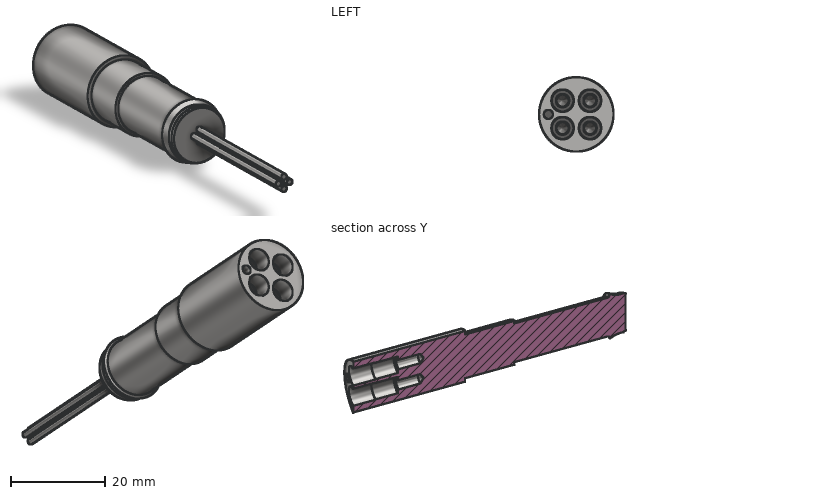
import cadquery as cq
import math

total_length = 102.2

shell_diameter = 15.8
shell_end = 25.6
collar_diameter = 14.0
collar_end = 36.9
sleeve_diameter = 12.7
sleeve_end = 62.4

barb_diameter = 14.0
barb_start = 58.3
barb_peak = 58.7
barb_end = 60.6
end_chamfer_length = 0.6
end_chamfer_depth = 0.3

socket_spacing = 5.8
socket_offset = socket_spacing / 2
mouth_diameter = 4.8
mouth_depth = 5.1
socket_diameter = 4.6
socket_depth = 10.2
lead_in_diameter = 2.9
contact_diameter = 2.6
contact_depth = 5.1
drill_point_angle = 118.0

key_hole_diameter = 1.9
key_hole_offset = 5.9
key_hole_depth = 10.2

wire_diameter = 1.3
wire_offset = 1.3
wire_count = 4


def make_housing():
    """Turned outline of the housing, revolved about the X axis."""
    sleeve_radius = sleeve_diameter / 2
    collar_radius = collar_diameter / 2
    shell_radius = shell_diameter / 2
    outline = [
        (0, 0),
        (0, shell_radius),
        (shell_end, shell_radius),
        (shell_end, collar_radius),
        (collar_end, collar_radius),
        (collar_end, sleeve_radius),
        (barb_start, sleeve_radius),
        (barb_peak, barb_diameter / 2),
        (barb_end, sleeve_radius),
        (sleeve_end - end_chamfer_length, sleeve_radius),
        (sleeve_end, sleeve_radius - end_chamfer_depth),
        (sleeve_end, 0),
    ]
    return cq.Workplane("XY").polyline(outline).close().revolve(360, (0, 0, 0), (1, 0, 0))


def make_socket():
    """Bore stepping down to a contact hole with a 45 degree lead-in and a drilled point."""
    contact_radius = contact_diameter / 2
    lead_in_depth = lead_in_diameter / 2 - contact_radius
    contact_end = socket_depth + contact_depth
    point_length = contact_radius / math.tan(math.radians(drill_point_angle / 2))
    outline = [
        (0, 0),
        (0, mouth_diameter / 2),
        (mouth_depth, mouth_diameter / 2),
        (mouth_depth, socket_diameter / 2),
        (socket_depth, socket_diameter / 2),
        (socket_depth, lead_in_diameter / 2),
        (socket_depth + lead_in_depth, contact_radius),
        (contact_end, contact_radius),
        (contact_end + point_length, 0),
    ]
    return cq.Workplane("XY").polyline(outline).close().revolve(360, (0, 0, 0), (1, 0, 0))


def make_key_hole():
    """Blind round hole in the mating face."""
    return (
        cq.Workplane("YZ")
        .center(key_hole_offset, 0)
        .circle(key_hole_diameter / 2)
        .extrude(key_hole_depth)
    )


def make_wires():
    """Straight round wires from the rear face to the +X end."""
    return (
        cq.Workplane("YZ")
        .workplane(offset=sleeve_end)
        .polarArray(wire_offset, 0, 360, wire_count)
        .circle(wire_diameter / 2)
        .extrude(total_length - sleeve_end)
    )


result = make_housing().union(make_wires())
for y_side in (-1, 1):
    for z_side in (-1, 1):
        socket_position = (0, y_side * socket_offset, z_side * socket_offset)
        result = result.cut(make_socket().translate(socket_position))
result = result.cut(make_key_hole())
result = result.translate((-total_length / 2, 0, 0))